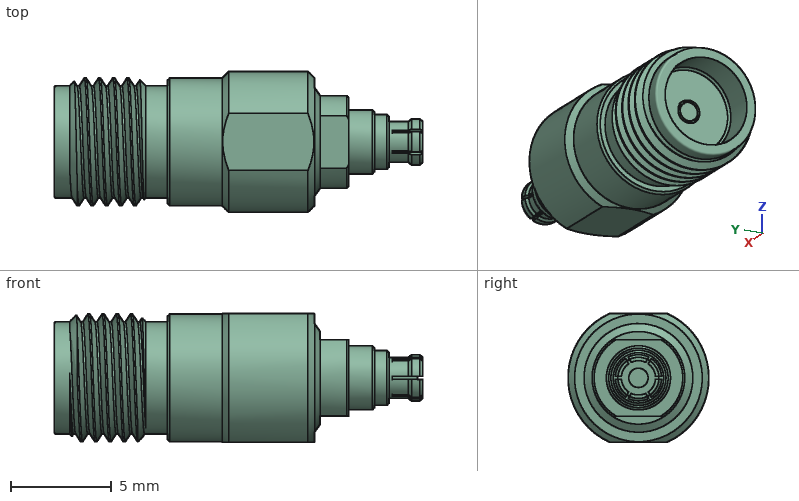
import cadquery as cq
import math

LENGTH = 18.29

THREAD_ROOT_R = 2.79
RIM_FILLET = 0.1
THREAD_CREST_R = 3.175
INCH = 25.4
THREADS_PER_INCH = 36
THREAD_PITCH = INCH / THREADS_PER_INCH
THREAD_BASE_W = 0.66
THREAD_CREST_W = 0.09
THREAD_EMBED = 0.05
THREAD_START_X = 0.77
THREAD_END_X = 4.54
THREAD_REF_X = 1.54

SLEEVE_X = 5.62
SLEEVE_R = THREAD_CREST_R
SLEEVE_CHAMFER = 0.12
WRENCH_X = 8.33
WRENCH_END_X = 12.92
WRENCH_R = 3.5
WRENCH_CHAMFER = 0.33
WRENCH_FLATS = 6.4

CONE_R = 2.7
COLLAR_X = 13.2
COLLAR_R = 2.3
COLLAR_CHAMFER = 0.1
COLLAR_FLATS = 3.8

STEP_1_X = 14.62
STEP_1_R = 1.595
STEP_2_X = 15.9
STEP_2_R = 1.37
STEP_CHAMFER = 0.12
NECK_X = 16.62
NECK_R = 1.02

LIP_X = 17.58
LIP_FULL_X = 17.73
LIP_TAPER_X = 18.13
LIP_R = 1.15
SPRING_BORE_R = 0.85
SLOT_X = 16.78
SLOT_W = 0.15
SLOT_COUNT = 6

BORE_R = 2.27
BORE_FLOOR_R = 2.15
BORE_DEPTH = 1.9
BORE_TAPER = BORE_R - BORE_FLOOR_R

PIN_R = 0.48
PIN_END_X = 18.03
PIN_RECESS_R = 0.6
PIN_RECESS_DEPTH = 0.2


def x_cylinder(x_start, x_end, radius):
    """Solid cylinder on the X axis."""
    return cq.Workplane("YZ", origin=(x_start, 0, 0)).circle(radius).extrude(x_end - x_start)


def turned(points):
    """Revolve an (x, radius) profile about the X axis."""
    return cq.Workplane("XY").polyline(points).close().revolve(360, (0, 0, 0), (1, 0, 0))


def across_flats(x_start, x_end, size):
    """Block that trims a turned section to two flats facing +Z and -Z."""
    length = x_end - x_start
    return cq.Workplane("XY").box(length, 2 * WRENCH_R, size).translate((x_start + length / 2, 0, 0))


def turned_body():
    """Outside of the threaded end, sleeve, wrench section, collars and spring lip."""
    threaded_end = turned([
        (0, 0),
        (0, THREAD_ROOT_R),
        (SLEEVE_X, THREAD_ROOT_R),
        (SLEEVE_X, SLEEVE_R - SLEEVE_CHAMFER),
        (SLEEVE_X + SLEEVE_CHAMFER, SLEEVE_R),
        (WRENCH_X, SLEEVE_R),
        (WRENCH_X, 0),
    ]).faces("<X").edges().fillet(RIM_FILLET)
    wrench = turned([
        (WRENCH_X, 0),
        (WRENCH_X, WRENCH_R - WRENCH_CHAMFER),
        (WRENCH_X + WRENCH_CHAMFER, WRENCH_R),
        (WRENCH_END_X - WRENCH_CHAMFER, WRENCH_R),
        (WRENCH_END_X, WRENCH_R - WRENCH_CHAMFER),
        (WRENCH_END_X, 0),
    ]).intersect(across_flats(WRENCH_X, WRENCH_END_X, WRENCH_FLATS))
    collar = turned([
        (COLLAR_X, 0),
        (COLLAR_X, COLLAR_R),
        (STEP_1_X - COLLAR_CHAMFER, COLLAR_R),
        (STEP_1_X, COLLAR_R - COLLAR_CHAMFER),
        (STEP_1_X, 0),
    ]).intersect(across_flats(COLLAR_X, STEP_1_X, COLLAR_FLATS))
    cone = turned([
        (WRENCH_END_X, 0),
        (WRENCH_END_X, CONE_R),
        (COLLAR_X, COLLAR_R),
        (COLLAR_X, 0),
    ])
    steps = turned([
        (STEP_1_X, 0),
        (STEP_1_X, STEP_1_R),
        (STEP_2_X - STEP_CHAMFER, STEP_1_R),
        (STEP_2_X, STEP_1_R - STEP_CHAMFER),
        (STEP_2_X, STEP_2_R),
        (NECK_X - STEP_CHAMFER, STEP_2_R),
        (NECK_X, STEP_2_R - STEP_CHAMFER),
        (NECK_X, NECK_R),
        (LIP_X, NECK_R),
        (LIP_FULL_X, LIP_R),
        (LIP_TAPER_X, LIP_R),
        (LENGTH, NECK_R),
        (LENGTH, 0),
    ])
    return threaded_end.union(wrench).union(cone).union(collar).union(steps)


def thread_ridge():
    """Right-hand helical ridge with a 45 degree run-in and run-out."""
    turns_before = math.ceil((THREAD_REF_X - THREAD_START_X) / THREAD_PITCH)
    turns_after = math.ceil((THREAD_END_X - THREAD_REF_X) / THREAD_PITCH) + 1
    first_x = THREAD_REF_X - turns_before * THREAD_PITCH
    helix_length = (turns_before + turns_after) * THREAD_PITCH
    foot_r = THREAD_ROOT_R - THREAD_EMBED
    helix = cq.Wire.makeHelix(
        THREAD_PITCH, helix_length, foot_r, cq.Vector(first_x, 0, 0), cq.Vector(1, 0, 0)
    )
    start = helix.startPoint()
    turn_to_y = math.degrees(math.atan2(start.z, start.y))
    helix = helix.rotate(cq.Vector(0, 0, 0), cq.Vector(1, 0, 0), -turn_to_y)
    ridge = (
        cq.Workplane("XY")
        .polyline([
            (first_x - THREAD_BASE_W / 2, foot_r),
            (first_x - THREAD_CREST_W / 2, THREAD_CREST_R),
            (first_x + THREAD_CREST_W / 2, THREAD_CREST_R),
            (first_x + THREAD_BASE_W / 2, foot_r),
        ])
        .close()
        .sweep(cq.Workplane(obj=helix), isFrenet=True)
    )
    cone_length = WRENCH_R - THREAD_ROOT_R
    envelope = turned([
        (THREAD_START_X - THREAD_ROOT_R, 0),
        (THREAD_START_X + cone_length, WRENCH_R),
        (THREAD_END_X - cone_length, WRENCH_R),
        (THREAD_END_X + THREAD_ROOT_R, 0),
    ])
    return ridge.intersect(envelope)


def socket_bore():
    """Open bore of the threaded end, tapering in at its floor."""
    return turned([
        (0, 0),
        (0, BORE_R),
        (BORE_DEPTH - BORE_TAPER, BORE_R),
        (BORE_DEPTH, BORE_FLOOR_R),
        (BORE_DEPTH, 0),
    ])


def spring_slots():
    """Radial slots that split the spring collar into fingers."""
    slots = cq.Workplane("XY")
    for index in range(SLOT_COUNT):
        slot = (
            cq.Workplane("XY")
            .box(LENGTH - SLOT_X, WRENCH_R, SLOT_W, centered=(False, False, True))
            .translate((SLOT_X, 0, 0))
            .rotate((0, 0, 0), (1, 0, 0), index * 360 / SLOT_COUNT)
        )
        slots = slots.add(slot)
    return slots.combine()


def make_housing():
    """Metal shell with its thread, bores, finger slots and the hole for the center contact."""
    housing = turned_body().union(thread_ridge())
    housing = housing.cut(socket_bore())
    housing = housing.cut(x_cylinder(SLOT_X, LENGTH, SPRING_BORE_R))
    housing = housing.cut(spring_slots())
    housing = housing.cut(x_cylinder(BORE_DEPTH, BORE_DEPTH + PIN_RECESS_DEPTH, PIN_RECESS_R))
    housing = housing.cut(x_cylinder(BORE_DEPTH, SLOT_X, PIN_R))
    return cq.Workplane(obj=housing.solids().val())


def make_center_contact():
    """Plain pin from the socket floor to just inside the spring collar."""
    return x_cylinder(BORE_DEPTH, PIN_END_X, PIN_R)


housing = make_housing()
center_contact = make_center_contact()

result = cq.Compound.makeCompound([housing.val(), center_contact.val()])